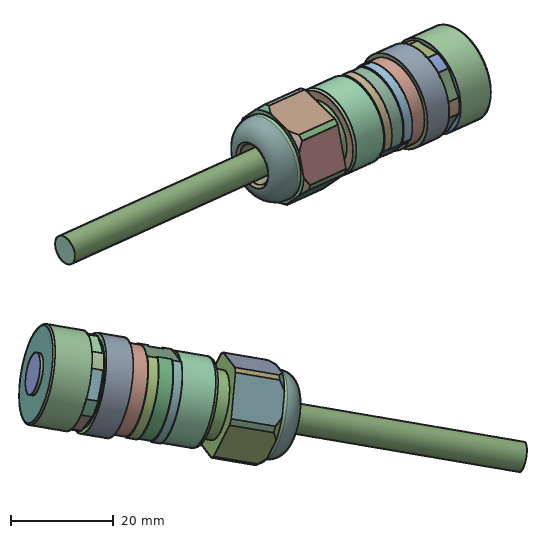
import cadquery as cq
import math

TOTAL_LENGTH = 101.2

INSERT_RADIUS = 4.2

RING_RADIUS = 10.0
FRONT_RING_START = 0.65
RING_CHAMFER = 0.35
FRONT_RING_END = 8.65
REAR_RING_START = 11.6
REAR_RING_END = 17.15
BAND_ACROSS_FLATS = 18.0
BAND_RADIUS = 9.5
BAND_FLAT_ANGLE = 90.0

RELIEF_WIDTH = 0.35
RELIEF_RADIUS = 9.0

BODY_RADIUS = 9.1
BODY_END = 35.15
BODY_CHAMFER_LENGTH = 0.6
BODY_CHAMFER_DEPTH = 0.3
RIB_RADIUS = 9.4
RIB_SPANS = ((20.5, 22.65), (25.7, 27.55))
GRIP_FLAT_DISTANCE = 8.5
GRIP_FLAT_ANGLES = (135.0, 315.0)

NECK_RADIUS = 6.95

NUT_START = 38.2
NUT_END = 48.55
NUT_ACROSS_FLATS = 18.8
NUT_CORNER_RADIUS = 10.49
NUT_FLAT_ANGLE = 135.0
NUT_CHAMFER_LENGTH = 1.2
NUT_CHAMFER_DEPTH = 0.75

DOME_RADIUS = 8.9
DOME_END = 53.4
DOME_FILLET = 4.0
ENTRY_RADIUS = 4.25
ENTRY_CHAMFER = 0.55
ENTRY_DEPTH = 5.0

CABLE_RADIUS = 3.0


def disc(start, end, radius):
    """Cylinder on the connector axis between two stations."""
    return cq.Workplane("XZ").workplane(offset=start).circle(radius).extrude(end - start)


def hexagon(start, end, across_flats, flat_angle):
    """Hexagonal prism with one flat facing flat_angle, measured from +X towards +Z."""
    across_corners = across_flats / math.cos(math.pi / 6)
    prism = cq.Workplane("XZ").workplane(offset=start).polygon(6, across_corners).extrude(end - start)
    return prism.rotate((0, 0, 0), (0, 1, 0), 30 - flat_angle)


def make_coupling():
    """Contact insert, two round rings and the hexagonal band between them."""
    front_ring = disc(FRONT_RING_START, FRONT_RING_END, RING_RADIUS).faces(">Y").chamfer(RING_CHAMFER)
    rear_ring = disc(REAR_RING_START, REAR_RING_END, RING_RADIUS)
    band_end = REAR_RING_START - RELIEF_WIDTH
    band = disc(FRONT_RING_END, band_end, BAND_RADIUS).intersect(
        hexagon(FRONT_RING_END, band_end, BAND_ACROSS_FLATS, BAND_FLAT_ANGLE)
    )
    relief = disc(band_end, REAR_RING_START, RELIEF_RADIUS)
    insert = disc(0, FRONT_RING_START, INSERT_RADIUS)
    return insert.union(front_ring).union(band).union(relief).union(rear_ring)


def make_body():
    """Cylindrical body with grip ribs and a pair of opposite wrench flats."""
    body = disc(REAR_RING_END, BODY_END, BODY_RADIUS)
    body = body.faces("<Y").chamfer(BODY_CHAMFER_LENGTH, BODY_CHAMFER_DEPTH)
    for start, end in RIB_SPANS:
        body = body.union(disc(start, end, RIB_RADIUS))
    grip_start = RIB_SPANS[0][0]
    grip_end = RIB_SPANS[-1][1]
    for angle in GRIP_FLAT_ANGLES:
        cutter = cq.Workplane("XY").box(
            RING_RADIUS, grip_end - grip_start, 2 * RING_RADIUS, centered=(False, True, True)
        )
        cutter = cutter.translate((GRIP_FLAT_DISTANCE, -(grip_start + grip_end) / 2, 0))
        body = body.cut(cutter.rotate((0, 0, 0), (0, 1, 0), -angle))
    return body


def make_nut():
    """Hexagonal gland nut with turned corners and a conical rear edge."""
    blank = disc(NUT_START, NUT_END, NUT_CORNER_RADIUS)
    blank = blank.faces("<Y").chamfer(NUT_CHAMFER_LENGTH, NUT_CHAMFER_DEPTH)
    return blank.intersect(hexagon(NUT_START, NUT_END, NUT_ACROSS_FLATS, NUT_FLAT_ANGLE))


def make_dome():
    """Rounded gland end with a blind, countersunk cable entry."""
    dome = disc(NUT_END, DOME_END, DOME_RADIUS).faces("<Y").edges().fillet(DOME_FILLET)
    entry = disc(DOME_END - ENTRY_DEPTH, DOME_END, ENTRY_RADIUS)
    mouth = cq.Solid.makeCone(
        ENTRY_RADIUS,
        ENTRY_RADIUS + ENTRY_CHAMFER,
        ENTRY_CHAMFER,
        pnt=cq.Vector(0, ENTRY_CHAMFER - DOME_END, 0),
        dir=cq.Vector(0, -1, 0),
    )
    return dome.cut(entry).cut(cq.Workplane(obj=mouth))


neck = disc(BODY_END, NUT_START, NECK_RADIUS)
cable = disc(DOME_END - ENTRY_DEPTH, TOTAL_LENGTH, CABLE_RADIUS)

result = make_coupling().union(make_body()).union(neck)
result = result.union(make_nut()).union(make_dome()).union(cable)